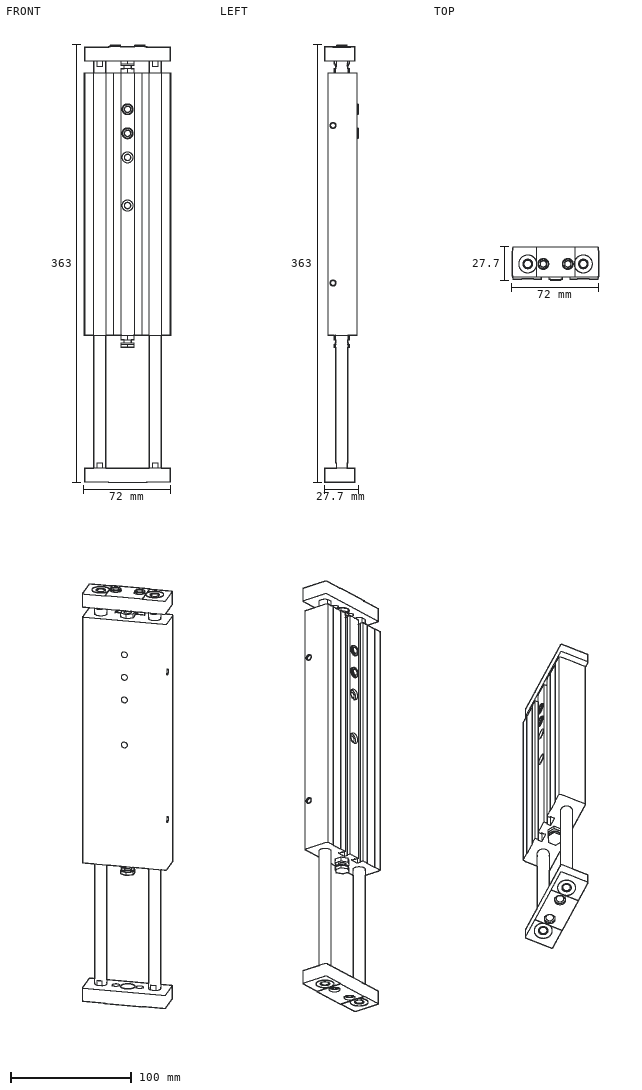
import cadquery as cq
import math

total_height = 363.0
plate_sleeve_protrusion = 1.5
plate_thickness = 12.0
housing_length = 217.8
stop_height = 9.8
pad_height = 0.5

plate_top = total_height - plate_sleeve_protrusion
upper_plate_bottom = plate_top - plate_thickness
housing_top = upper_plate_bottom - stop_height
housing_bottom = housing_top - housing_length

housing_width = 72.0
housing_back = 11.5
housing_front = -12.7
corner_bevel_x = 0.7
corner_bevel_y = 2.5
back_corner_radius = 1.0
rod_groove_depth = 0.5
slot_centre_x = 8.7
slot_opening = 6.0
slot_lip = 3.3
slot_inner_width = 7.5
slot_depth = 6.5

rod_diameter = 10.0
rod_spacing = 46.0
rod_flat_distance = 9.0
rod_flat_length = 4.5

plate_width = 71.0
plate_back = 14.0
plate_front = -11.0
plate_corner_radius = 1.0
pad_width = 32.0
stop_recess_diameter = 12.0
shallow_depth = 0.5
rod_seat_diameter = 15.0
rod_dimple_diameter = 8.0
rod_dimple_floor_diameter = 6.0
rod_dimple_depth = 0.5

sleeve_diameter = 8.7
sleeve_seat_diameter = 9.0
sleeve_bore = 5.0
sleeve_chamfer = 0.5
front_sleeve_protrusion = 1.0
sleeve_seat_depth = 2.0
plate_hole_spacing = 20.5
plate_hole_diameter = 6.0
front_hole_diameter = 5.0
front_hole_pitch = 20.0
first_front_hole_drop = 30.0
front_hole_steps = [0, 1, 2, 4]
front_sleeve_steps = [0, 1]

port_end_distance = 43.5
port_y = 7.3
port_diameter = 5.0
port_core_diameter = 4.0
port_mouth_depth = 1.0
port_depth = 5.0

hex_across_flats = 11.0
nut_height = 3.5
head_height = 2.5
collar_diameter = 11.0
collar_height = 1.0
shank_diameter = 6.0
shank_embedded = 11.0

rod_xs = [-rod_spacing / 2, rod_spacing / 2]
plate_hole_xs = [-plate_hole_spacing / 2, plate_hole_spacing / 2]
front_hole_zs = [housing_top - first_front_hole_drop - step * front_hole_pitch for step in front_hole_steps]
front_sleeve_zs = [housing_top - first_front_hole_drop - step * front_hole_pitch for step in front_sleeve_steps]
port_zs = [housing_bottom + port_end_distance, housing_top - port_end_distance]
mid_height = (housing_top + housing_bottom) / 2


def box(x_min, x_max, y_min, y_max, z_min, z_max):
    """Box between opposite limits."""
    block = cq.Workplane("XY").box(x_max - x_min, y_max - y_min, z_max - z_min, centered=False)
    return block.translate((x_min, y_min, z_min))


def cylinder(start, direction, diameter, length):
    """Round bar running from a start point along a direction."""
    bar = cq.Solid.makeCylinder(diameter / 2, length, cq.Vector(*start), cq.Vector(*direction))
    return cq.Workplane(bar)


def flip_ends(body, height):
    """Turn a body end for end by mirroring it about a horizontal plane at a height."""
    return body.mirror("XY", (0, 0, height))


def make_sleeve(seat_point, direction, protrusion):
    """Centring sleeve standing in a seat whose floor is at the seat point."""
    length = sleeve_seat_depth + protrusion
    tip = cq.Vector(*seat_point) + cq.Vector(*direction) * length
    outside = cylinder(seat_point, direction, sleeve_diameter, length)
    outside = outside.edges(cq.selectors.NearestToPointSelector(tip.toTuple())).chamfer(sleeve_chamfer)
    return outside.cut(cylinder(seat_point, direction, sleeve_bore, length))


def make_housing():
    half_width = housing_width / 2
    body = (
        cq.Workplane("XY")
        .moveTo(-half_width, housing_back)
        .lineTo(half_width, housing_back)
        .lineTo(half_width, housing_front + corner_bevel_y)
        .lineTo(half_width - corner_bevel_x, housing_front)
        .lineTo(-half_width + corner_bevel_x, housing_front)
        .lineTo(-half_width, housing_front + corner_bevel_y)
        .close()
        .extrude(housing_length)
        .translate((0, 0, housing_bottom))
    )
    body = body.edges("|Z and >Y").fillet(back_corner_radius)
    groove_floor = housing_front + rod_groove_depth
    for rod_x in rod_xs:
        groove_left = rod_x - rod_diameter / 2
        groove_right = rod_x + rod_diameter / 2
        body = body.cut(box(groove_left, groove_right, housing_front, groove_floor, housing_bottom, housing_top))
        bore_start = (rod_x, 0, housing_bottom)
        body = body.cut(cylinder(bore_start, (0, 0, 1), rod_diameter, housing_length))
    for slot_x in [-slot_centre_x, slot_centre_x]:
        body = body.cut(make_t_slot(slot_x))
    for hole_z in front_hole_zs:
        start = (0, housing_front, hole_z)
        body = body.cut(cylinder(start, (0, 1, 0), front_hole_diameter, housing_back - housing_front))
        body = body.cut(cylinder(start, (0, 1, 0), sleeve_seat_diameter, sleeve_seat_depth))
    for port_z in port_zs:
        mouth = (-half_width, port_y, port_z)
        body = body.cut(cylinder(mouth, (1, 0, 0), port_diameter, port_mouth_depth))
        body = body.cut(cylinder(mouth, (1, 0, 0), port_core_diameter, port_depth))
    stop_hole = cylinder((0, 0, housing_top), (0, 0, -1), shank_diameter, shank_embedded)
    return body.cut(stop_hole).cut(flip_ends(stop_hole, mid_height))


def make_t_slot(slot_x):
    """Cutter for a sensor slot running the length of the housing."""
    lip_y = housing_front + slot_lip
    floor_y = housing_front + slot_depth
    half_opening = slot_opening / 2
    half_inner = slot_inner_width / 2
    mouth = box(slot_x - half_opening, slot_x + half_opening, housing_front, floor_y, housing_bottom, housing_top)
    inner = box(slot_x - half_inner, slot_x + half_inner, lip_y, floor_y, housing_bottom, housing_top)
    return mouth.union(inner)


def make_rod_dimple(rod_x, rim_z):
    """Conical cutter for the dimple in the middle of a rod seat."""
    dimple = cq.Solid.makeCone(
        rod_dimple_diameter / 2,
        rod_dimple_floor_diameter / 2,
        rod_dimple_depth,
        cq.Vector(rod_x, 0, rim_z),
        cq.Vector(0, 0, -1),
    )
    return cq.Workplane(dimple)


def make_upper_plate():
    half_width = plate_width / 2
    shoulder_z = plate_top - pad_height
    plate = box(-half_width, half_width, plate_front, plate_back, upper_plate_bottom, shoulder_z)
    plate = plate.edges("|Z").fillet(plate_corner_radius)
    plate = plate.union(box(-pad_width / 2, pad_width / 2, plate_front, plate_back, upper_plate_bottom, plate_top))
    for hole_x in plate_hole_xs:
        start = (hole_x, 0, plate_top)
        plate = plate.cut(cylinder(start, (0, 0, -1), plate_hole_diameter, plate_thickness))
        plate = plate.cut(cylinder(start, (0, 0, -1), sleeve_seat_diameter, sleeve_seat_depth))
    for rod_x in rod_xs:
        start = (rod_x, 0, shoulder_z)
        plate = plate.cut(cylinder(start, (0, 0, -1), rod_seat_diameter, shallow_depth))
        plate = plate.cut(make_rod_dimple(rod_x, shoulder_z - shallow_depth))
    stop_recess = cylinder((0, 0, upper_plate_bottom), (0, 0, 1), stop_recess_diameter, shallow_depth)
    return plate.cut(stop_recess)


def make_rod(rod_x):
    """Rod between the plates, with wrench flats facing front and back at both ends."""
    length = upper_plate_bottom - plate_thickness
    rod = cylinder((rod_x, 0, plate_thickness), (0, 0, 1), rod_diameter, length)
    half_flats = rod_flat_distance / 2
    left = rod_x - rod_diameter
    right = rod_x + rod_diameter
    for end_z in [plate_thickness, upper_plate_bottom - rod_flat_length]:
        z_limits = (end_z, end_z + rod_flat_length)
        rod = rod.cut(box(left, right, half_flats, rod_diameter, *z_limits))
        rod = rod.cut(box(left, right, -rod_diameter, -half_flats, *z_limits))
    return rod


def make_frame():
    """Moving frame: both plates joined by the rods."""
    upper_plate = make_upper_plate()
    frame = upper_plate.union(flip_ends(upper_plate, plate_top / 2))
    for rod_x in rod_xs:
        frame = frame.union(make_rod(rod_x))
    return frame


def make_hexagon(bottom_z, height):
    """Hexagonal block with corners towards front and back."""
    across_corners = hex_across_flats / math.cos(math.pi / 6)
    block = cq.Workplane("XY").polygon(6, across_corners).extrude(height)
    return block.rotate((0, 0, 0), (0, 0, 1), 30).translate((0, 0, bottom_z))


def make_upper_nut():
    nut = make_hexagon(housing_top, nut_height)
    return nut.cut(cylinder((0, 0, housing_top), (0, 0, 1), shank_diameter, nut_height))


def make_upper_stop_screw():
    head_bottom = upper_plate_bottom - head_height
    shank_bottom = housing_top - shank_embedded
    screw = make_hexagon(head_bottom, head_height)
    screw = screw.union(cylinder((0, 0, head_bottom), (0, 0, -1), collar_diameter, collar_height))
    return screw.union(cylinder((0, 0, shank_bottom), (0, 0, 1), shank_diameter, head_bottom - shank_bottom))


housing = make_housing()
frame = make_frame()
upper_nut = make_upper_nut()
upper_screw = make_upper_stop_screw()
nuts = [upper_nut, flip_ends(upper_nut, mid_height)]
screws = [upper_screw, flip_ends(upper_screw, mid_height)]

sleeves = []
for hole_x in plate_hole_xs:
    sleeves.append(make_sleeve((hole_x, 0, plate_top - sleeve_seat_depth), (0, 0, 1), plate_sleeve_protrusion))
for sleeve_z in front_sleeve_zs:
    sleeves.append(make_sleeve((0, housing_front + sleeve_seat_depth, sleeve_z), (0, -1, 0), front_sleeve_protrusion))

bodies = [housing, frame, *nuts, *screws, *sleeves]
result = cq.Compound.makeCompound([body.val() for body in bodies])